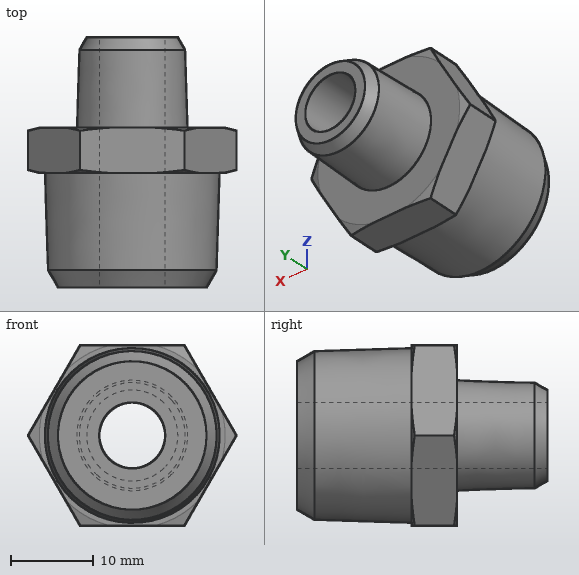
import cadquery as cq
import math

ACROSS_FLATS = 22.0
ACROSS_CORNERS = ACROSS_FLATS / math.cos(math.radians(30))
CORNER_CHAMFER_ANGLE = 15
HEX_FACE_DIAMETER = 22.63

LENGTH = 30.5
LARGE_END_Y = -LENGTH / 2
SMALL_END_Y = LENGTH / 2
HEX_START_Y = -1.28
HEX_END_Y = 4.25

RADIAL_TAPER = 1 / 32
LEAD_IN_ANGLE = 30
LARGE_BASE_RADIUS = 10.65
LARGE_LEAD_IN = 2.15
SMALL_BASE_RADIUS = 6.75
SMALL_LEAD_IN = 1.55

BORE_DIAMETER = 8.0


def revolve_about_y(points):
    """Turn a closed outline of (radius, y) points about the Y axis."""
    outline = cq.Workplane("XY").polyline(points).close()
    return outline.revolve(360, (0, 0, 0), (0, 1, 0))


def tapered_spigot(base_y, end_y, base_radius, lead_in):
    """Taper from the hexagon to the lead-in, then chamfer to the end face."""
    direction = math.copysign(1, end_y - base_y)
    lead_in_y = end_y - direction * lead_in
    lead_in_radius = base_radius - abs(lead_in_y - base_y) * RADIAL_TAPER
    end_radius = lead_in_radius - lead_in * math.tan(math.radians(LEAD_IN_ANGLE))
    return revolve_about_y([
        (0, base_y),
        (base_radius, base_y),
        (lead_in_radius, lead_in_y),
        (end_radius, end_y),
        (0, end_y),
    ])


def chamfered_hexagon():
    """Hexagonal prism with its corners turned off conically at both faces."""
    prism = (
        cq.Workplane("XZ", origin=(0, HEX_END_Y, 0))
        .polygon(6, ACROSS_CORNERS)
        .extrude(HEX_END_Y - HEX_START_Y)
    )
    face_radius = HEX_FACE_DIAMETER / 2
    corner_radius = ACROSS_CORNERS / 2
    drop = (corner_radius - face_radius) * math.tan(math.radians(CORNER_CHAMFER_ANGLE))
    envelope = revolve_about_y([
        (0, HEX_START_Y),
        (face_radius, HEX_START_Y),
        (corner_radius, HEX_START_Y + drop),
        (corner_radius, HEX_END_Y - drop),
        (face_radius, HEX_END_Y),
        (0, HEX_END_Y),
    ])
    return prism.intersect(envelope)


large_spigot = tapered_spigot(HEX_START_Y, LARGE_END_Y, LARGE_BASE_RADIUS, LARGE_LEAD_IN)
small_spigot = tapered_spigot(HEX_END_Y, SMALL_END_Y, SMALL_BASE_RADIUS, SMALL_LEAD_IN)
bore = (
    cq.Workplane("XZ", origin=(0, SMALL_END_Y, 0))
    .circle(BORE_DIAMETER / 2)
    .extrude(LENGTH)
)

result = chamfered_hexagon().union(large_spigot).union(small_spigot).cut(bore)